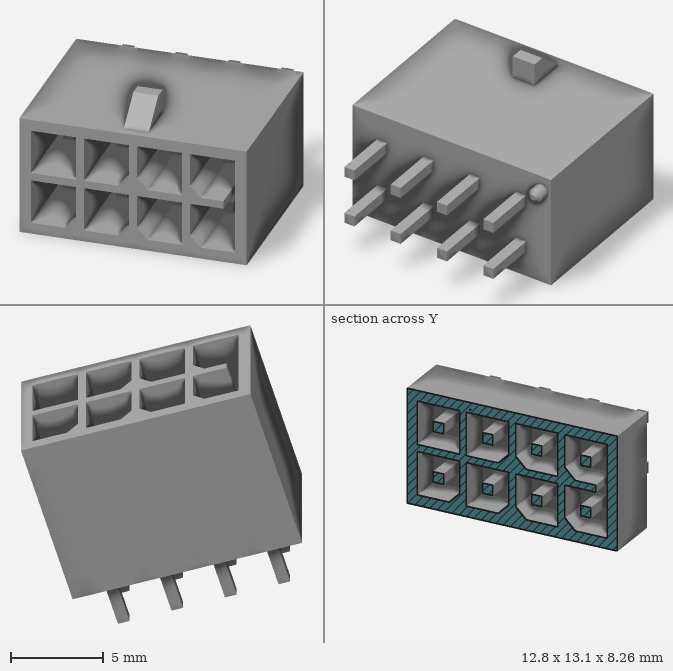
import cadquery as cq

HOUSING_WIDTH = 12.85
HOUSING_DEPTH = 9.91
HOUSING_HEIGHT = 6.86

COLUMNS = 4
ROWS = 2
PITCH = 3.0

POCKET_SIZE = 2.55
POCKET_CHAMFER = 0.63
POCKET_DEPTH = 8.38
LINK_WIDTH = 0.67

PIN_SIZE = 0.64
PIN_RECESS = 2.62
OVERALL_DEPTH = 13.09

LATCH_WIDTH = 1.41
LATCH_HEIGHT = 1.4
LATCH_FRONT = 0.58
LATCH_CREST = 2.21
LATCH_BACK = 2.96

PEG_DIAMETER = 0.84
PEG_LENGTH = 0.81
PEG_CHAMFER = 0.25
PEG_X = -HOUSING_WIDTH / 2 + 0.63
PEG_Z = HOUSING_HEIGHT - 0.93


def contact_position(column, row):
    """X and Z of a contact; column 0 is at -X and row 0 is the lower row."""
    x = (column - (COLUMNS - 1) / 2) * PITCH
    z = HOUSING_HEIGHT / 2 + (row - (ROWS - 1) / 2) * PITCH
    return x, z


def bar(x, z, width, height, y_start, y_end):
    """Rectangular bar along Y, centred on (x, z)."""
    length = y_end - y_start
    return cq.Workplane("XY").box(width, length, height).translate((x, (y_start + y_end) / 2, z))


def pocket(column, row):
    """Square pocket, keyed by a chamfer on the lower corner nearest the middle of the housing.

    The upper pocket of the first column stays a plain square.
    """
    x, z = contact_position(column, row)
    cavity = bar(x, z, POCKET_SIZE, POCKET_SIZE, 0, POCKET_DEPTH)
    is_plain = column == 0 and row == ROWS - 1
    if is_plain:
        return cavity
    inner_side = ">X" if x < 0 else "<X"
    return cavity.faces("<Z").edges(inner_side).chamfer(POCKET_CHAMFER)


def pocket_link():
    """Slot along the outer wall that joins the pockets of the last column."""
    x, _ = contact_position(COLUMNS - 1, 0)
    link_x = x + (POCKET_SIZE - LINK_WIDTH) / 2
    return bar(link_x, HOUSING_HEIGHT / 2, LINK_WIDTH, PITCH, 0, POCKET_DEPTH)


def pin(column, row):
    x, z = contact_position(column, row)
    return bar(x, z, PIN_SIZE, PIN_SIZE, PIN_RECESS, OVERALL_DEPTH)


def latch():
    """Wedge with a ramp facing the mating face and a flat crest behind it."""
    top = HOUSING_HEIGHT + LATCH_HEIGHT
    profile = [
        (LATCH_FRONT, HOUSING_HEIGHT),
        (LATCH_CREST, top),
        (LATCH_BACK, top),
        (LATCH_BACK, HOUSING_HEIGHT),
    ]
    return cq.Workplane("YZ").polyline(profile).close().extrude(LATCH_WIDTH / 2, both=True)


def peg():
    blank = cq.Workplane("XZ").circle(PEG_DIAMETER / 2).extrude(-PEG_LENGTH)
    return blank.faces(">Y").chamfer(PEG_CHAMFER).translate((PEG_X, HOUSING_DEPTH, PEG_Z))


contacts = [(column, row) for column in range(COLUMNS) for row in range(ROWS)]

result = bar(0, HOUSING_HEIGHT / 2, HOUSING_WIDTH, HOUSING_HEIGHT, 0, HOUSING_DEPTH)
for column, row in contacts:
    result = result.cut(pocket(column, row))
result = result.cut(pocket_link())
for column, row in contacts:
    result = result.union(pin(column, row))
result = result.union(latch()).union(peg())